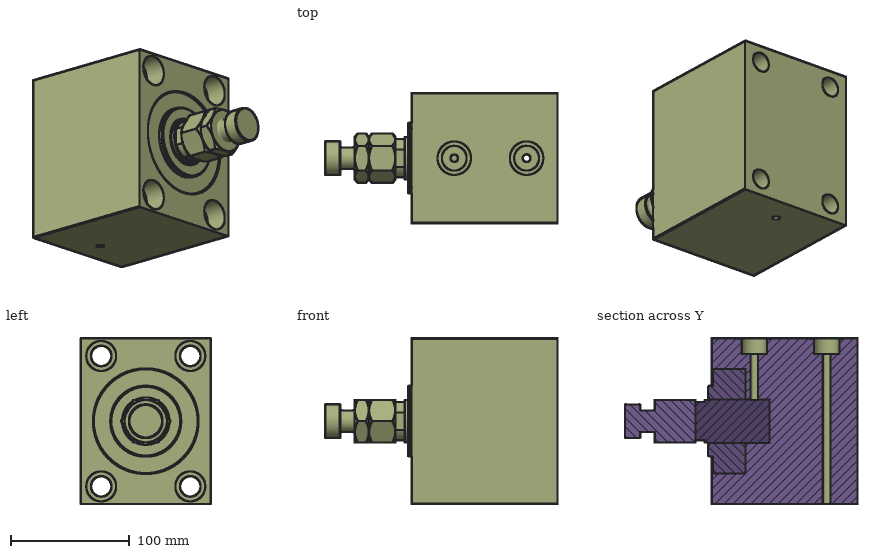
import cadquery as cq
import math


HOUSING_FRONT = 73.1
HOUSING_BACK = 196.0
HOUSING_WIDTH = 110.0
HOUSING_HEIGHT = 140.0
HOUSING_LENGTH = HOUSING_BACK - HOUSING_FRONT
HOUSING_EDGE_CHAMFER = 0.5

MOUNT_SPACING_Y = 75.0
MOUNT_SPACING_Z = 110.0
MOUNT_HOLE_DIAMETER = 17.0
MOUNT_COUNTERBORE_DIAMETER = 25.3
MOUNT_COUNTERBORE_DEPTH = 19.6

FRONT_PORT_X = 109.0
REAR_PORT_X = 170.0
PORT_SPOTFACE_DIAMETER = 28.2
PORT_SPOTFACE_DEPTH = 0.4
PORT_DIAMETER = 21.0
PORT_DEPTH = 13.3
PORT_DRILL_DIAMETER = 6.3

GLAND_DIAMETER = 87.6
GLAND_LENGTH = 27.5
GLAND_SEAT_CHAMFER = 0.8
COLLAR_FRONT = 69.8
COLLAR_DIAMETER = 60.0
COLLAR_CHAMFER_LENGTH = 1.4
COLLAR_CHAMFER_HEIGHT = 1.0
GLAND_RECESS_DIAMETER = 40.0
GLAND_RECESS_DEPTH = 1.0

ROD_DIAMETER = 36.0
ROD_FRONT = 59.4
ROD_BACK = 121.5
ROD_CHAMFER = 0.5
ROD_NOSE_DIAMETER = 35.5
ROD_NOSE_LENGTH = 7.6
FLATS_ACROSS = 32.3

HEAD_DIAMETER = 28.6
HEAD_LENGTH = 13.0
HEAD_CHAMFER = 0.5
NECK_DIAMETER = 18.5
NECK_HEAD_FILLET = 1.0
NECK_HEX_FILLET = 1.4
SMALL_HEX_FRONT = 25.0
LARGE_HEX_FRONT = 37.0
HEX_ACROSS_FLATS = 36.0
HEX_CORNER_RADIUS = HEX_ACROSS_FLATS / 2 / math.cos(math.pi / 6)
HEX_END_DIAMETER = 35.7
HEX_CHAMFER_LENGTH = 2.5


def cylinder_x(diameter, start, end):
    """Cylinder on the X axis from x = start to x = end."""
    return cq.Workplane("YZ", origin=(start, 0, 0)).circle(diameter / 2).extrude(end - start)


def turned(points):
    """Solid of revolution about X from a closed (x, radius) outline."""
    return cq.Workplane("XZ").polyline(points).close().revolve(360, (0, 0, 0), (1, 0, 0))


def make_housing():
    block = (
        cq.Workplane("XY")
        .box(HOUSING_LENGTH, HOUSING_WIDTH, HOUSING_HEIGHT, centered=(False, True, True))
        .translate((HOUSING_FRONT, 0, 0))
        .edges("|X")
        .chamfer(HOUSING_EDGE_CHAMFER)
    )
    block = (
        block.faces("<X")
        .workplane(origin=(0, 0, 0))
        .rarray(MOUNT_SPACING_Y, MOUNT_SPACING_Z, 2, 2)
        .cboreHole(MOUNT_HOLE_DIAMETER, MOUNT_COUNTERBORE_DIAMETER, MOUNT_COUNTERBORE_DEPTH)
    )
    return block.cut(make_gland_seat()).cut(make_front_port()).cut(make_rear_port())


def make_gland_seat():
    """Stepped bore for the gland and the rod, with a chamfered mouth."""
    gland_radius = GLAND_DIAMETER / 2
    mouth_end = HOUSING_FRONT + GLAND_SEAT_CHAMFER
    gland_end = mouth_end + GLAND_LENGTH
    return turned([
        (HOUSING_FRONT, 0),
        (HOUSING_FRONT, gland_radius + GLAND_SEAT_CHAMFER),
        (mouth_end, gland_radius),
        (gland_end, gland_radius),
        (gland_end, ROD_DIAMETER / 2),
        (ROD_BACK, ROD_DIAMETER / 2),
        (ROD_BACK, 0),
    ])


def make_port(port_x, drill_depth):
    """Cutter for a spotfaced port continued by a thin drilling, sunk from the top face."""
    top = cq.Workplane("XY", origin=(port_x, 0, HOUSING_HEIGHT / 2))
    spotface = top.circle(PORT_SPOTFACE_DIAMETER / 2).extrude(-PORT_SPOTFACE_DEPTH)
    bore = top.circle(PORT_DIAMETER / 2).extrude(-PORT_DEPTH)
    drilling = top.circle(PORT_DRILL_DIAMETER / 2).extrude(-drill_depth)
    return spotface.union(bore).union(drilling)


def make_front_port():
    """Port that ends in the rod bore."""
    return make_port(FRONT_PORT_X, HOUSING_HEIGHT / 2)


def make_rear_port():
    """Port whose drilling passes through the block."""
    return make_port(REAR_PORT_X, HOUSING_HEIGHT)


def make_gland():
    flange_front = HOUSING_FRONT + GLAND_SEAT_CHAMFER
    collar_radius = COLLAR_DIAMETER / 2
    collar = turned([
        (COLLAR_FRONT, 0),
        (COLLAR_FRONT, collar_radius - COLLAR_CHAMFER_HEIGHT),
        (COLLAR_FRONT + COLLAR_CHAMFER_LENGTH, collar_radius),
        (flange_front, collar_radius),
        (flange_front, 0),
    ])
    plug = cylinder_x(GLAND_DIAMETER, flange_front, flange_front + GLAND_LENGTH)
    rod_bore = cylinder_x(ROD_DIAMETER, COLLAR_FRONT, flange_front + GLAND_LENGTH)
    recess = cylinder_x(GLAND_RECESS_DIAMETER, COLLAR_FRONT, COLLAR_FRONT + GLAND_RECESS_DEPTH)
    return collar.union(plug).cut(rod_bore).cut(recess)


def make_rod():
    """Rod whose nose carries four wrench flats."""
    radius = ROD_DIAMETER / 2
    shoulder = ROD_FRONT + ROD_NOSE_LENGTH
    body = turned([
        (shoulder, 0),
        (shoulder, radius - ROD_CHAMFER),
        (shoulder + ROD_CHAMFER, radius),
        (ROD_BACK, radius),
        (ROD_BACK, 0),
    ])
    square = cq.Workplane("YZ", origin=(ROD_FRONT, 0, 0)).rect(FLATS_ACROSS, FLATS_ACROSS)
    nose = cylinder_x(ROD_NOSE_DIAMETER, ROD_FRONT, shoulder).intersect(square.extrude(ROD_NOSE_LENGTH))
    return body.union(nose)


def make_hexagon(start, end):
    """Hexagon with corners along Y, its corners turned off conically at both ends."""
    prism = (
        cq.Workplane("YZ", origin=(start, 0, 0))
        .polygon(6, 2 * HEX_CORNER_RADIUS)
        .extrude(end - start)
    )
    envelope = turned([
        (start, 0),
        (start, HEX_END_DIAMETER / 2),
        (start + HEX_CHAMFER_LENGTH, HEX_CORNER_RADIUS),
        (end - HEX_CHAMFER_LENGTH, HEX_CORNER_RADIUS),
        (end, HEX_END_DIAMETER / 2),
        (end, 0),
    ])
    return prism.intersect(envelope)


def make_coupling():
    neck_radius = NECK_DIAMETER / 2
    head_radius = HEAD_DIAMETER / 2
    head_and_neck = (
        cq.Workplane("XZ")
        .moveTo(0, 0)
        .lineTo(0, head_radius - HEAD_CHAMFER)
        .lineTo(HEAD_CHAMFER, head_radius)
        .lineTo(HEAD_LENGTH - HEAD_CHAMFER, head_radius)
        .lineTo(HEAD_LENGTH, head_radius - HEAD_CHAMFER)
        .lineTo(HEAD_LENGTH, neck_radius + NECK_HEAD_FILLET)
        .radiusArc((HEAD_LENGTH + NECK_HEAD_FILLET, neck_radius), -NECK_HEAD_FILLET)
        .lineTo(SMALL_HEX_FRONT - NECK_HEX_FILLET, neck_radius)
        .radiusArc((SMALL_HEX_FRONT, neck_radius + NECK_HEX_FILLET), -NECK_HEX_FILLET)
        .lineTo(SMALL_HEX_FRONT, 0)
        .close()
        .revolve(360, (0, 0, 0), (1, 0, 0))
    )
    small_hex = make_hexagon(SMALL_HEX_FRONT, LARGE_HEX_FRONT)
    large_hex = make_hexagon(LARGE_HEX_FRONT, ROD_FRONT)
    return head_and_neck.union(small_hex).union(large_hex)


housing = make_housing()
gland = make_gland()
rod = make_rod()
coupling = make_coupling()

result = cq.Compound.makeCompound([housing.val(), gland.val(), rod.val(), coupling.val()])